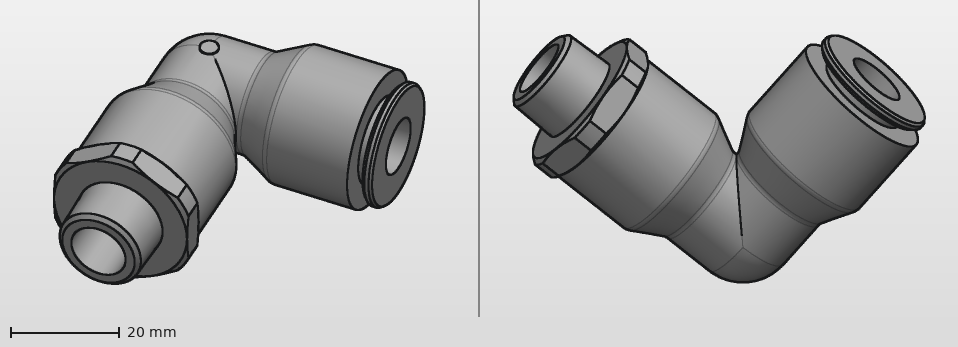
import cadquery as cq
import math


neck_radius = 10.0
body_radius = 13.5
flare_start_at = 10.6
flare_end_at = 17.3
flare_blend_radius = 2.1
body_end_at = 34.1

collar_radius = 8.6
flange_radius = 12.0
flange_thickness = 2.1
collar_end_at = 38.3
flange_start_at = collar_end_at - flange_thickness
flange_inner_chamfer = 0.7
flange_outer_chamfer_length = 0.55
flange_outer_chamfer_depth = 0.4

hex_thickness = 5.15
hex_corner_radius = 14.5
hex_chamfer_angle = math.radians(30)
hex_end_at = body_end_at + hex_thickness
hex_face_radius = 13.45
hex_chamfer_length = (hex_corner_radius - hex_face_radius) * math.tan(hex_chamfer_angle)

stud_end_at = 49.0
stud_start_radius = 8.52
stud_taper = 1 / 32
stud_chamfer_length = 0.8
stud_chamfer_depth = 0.9
stud_chamfer_at = stud_end_at - stud_chamfer_length
stud_tip_radius = stud_start_radius - stud_taper * (stud_chamfer_at - hex_end_at)

bore_radius = 5.5
disc_radius = 1.8
disc_rise = 0.15
disc_height = neck_radius + disc_rise


def turn(outline):
    """Revolve (radius, distance) points around the -Y leg axis."""
    points = [(radius, -distance) for radius, distance in outline]
    return cq.Workplane("XY").polyline(points).close().revolve(360, (0, 0, 0), (0, 1, 0))


def to_tube_leg(shape):
    """Swing a shape built on the stud leg (-Y) round to the tube leg (+X)."""
    return shape.rotate((0, 0, 0), (0, 0, 1), 90)


def make_leg():
    """Neck, flare and body with rounded transitions, on the stud leg."""
    flare_angle = math.atan2(body_radius - neck_radius, flare_end_at - flare_start_at)
    tangent_length = flare_blend_radius * math.tan(flare_angle / 2)
    along = tangent_length * math.cos(flare_angle)
    outward = tangent_length * math.sin(flare_angle)
    to_arc_middle = flare_blend_radius * math.sin(flare_angle / 2)
    arc_sag = flare_blend_radius * (1 - math.cos(flare_angle / 2))
    neck_arc_at = flare_start_at - tangent_length
    body_arc_at = flare_end_at + tangent_length
    return (
        cq.Workplane("XY")
        .lineTo(neck_radius, 0)
        .lineTo(neck_radius, -neck_arc_at)
        .threePointArc(
            (neck_radius + arc_sag, -(neck_arc_at + to_arc_middle)),
            (neck_radius + outward, -(flare_start_at + along)),
        )
        .lineTo(body_radius - outward, -(flare_end_at - along))
        .threePointArc(
            (body_radius - arc_sag, -(body_arc_at - to_arc_middle)),
            (body_radius, -body_arc_at),
        )
        .lineTo(body_radius, -body_end_at)
        .lineTo(0, -body_end_at)
        .close()
        .revolve(360, (0, 0, 0), (0, 1, 0))
    )


def make_collar():
    """Release collar with its chamfered flange, on the tube leg."""
    collar = turn([
        (0, body_end_at),
        (collar_radius, body_end_at),
        (collar_radius, flange_start_at),
        (flange_radius - flange_inner_chamfer, flange_start_at),
        (flange_radius, flange_start_at + flange_inner_chamfer),
        (flange_radius, collar_end_at - flange_outer_chamfer_length),
        (flange_radius - flange_outer_chamfer_depth, collar_end_at),
        (0, collar_end_at),
    ])
    return to_tube_leg(collar)


def make_hexagon():
    """Hexagon with flats facing +X and -X, its corners turned down and chamfered on both faces."""
    corner_distance = body_radius / math.cos(math.pi / 6)
    prism = (
        cq.Workplane("XZ", origin=(0, -body_end_at, 0))
        .polygon(6, 2 * corner_distance)
        .extrude(hex_thickness)
        .rotate((0, 0, 0), (0, 1, 0), 30)
    )
    turned_blank = turn([
        (0, body_end_at),
        (hex_face_radius, body_end_at),
        (hex_corner_radius, body_end_at + hex_chamfer_length),
        (hex_corner_radius, hex_end_at - hex_chamfer_length),
        (hex_face_radius, hex_end_at),
        (0, hex_end_at),
    ])
    return prism.intersect(turned_blank)


def make_stud():
    """Tapered stud with a chamfered tip."""
    return turn([
        (0, hex_end_at),
        (stud_start_radius, hex_end_at),
        (stud_tip_radius, stud_chamfer_at),
        (stud_tip_radius - stud_chamfer_depth, stud_end_at),
        (0, stud_end_at),
    ])


def make_passage():
    """Right-angled bore through both legs with a spherical corner."""
    stud_bore = cq.Workplane("XZ").circle(bore_radius).extrude(stud_end_at)
    tube_bore = cq.Workplane("YZ").circle(bore_radius).extrude(collar_end_at)
    return stud_bore.union(tube_bore).union(cq.Workplane("XY").sphere(bore_radius))


def make_disc():
    """Small flat disc on top of the elbow, standing just above the neck."""
    start_height = (bore_radius + neck_radius) / 2
    return (
        cq.Workplane("XY", origin=(0, 0, start_height))
        .circle(disc_radius)
        .extrude(disc_height - start_height)
    )


elbow_corner = cq.Workplane("XY").sphere(neck_radius)
leg = make_leg()

result = (
    elbow_corner
    .union(leg)
    .union(to_tube_leg(leg))
    .union(make_collar())
    .union(make_hexagon())
    .union(make_stud())
    .union(make_disc())
    .cut(make_passage())
)